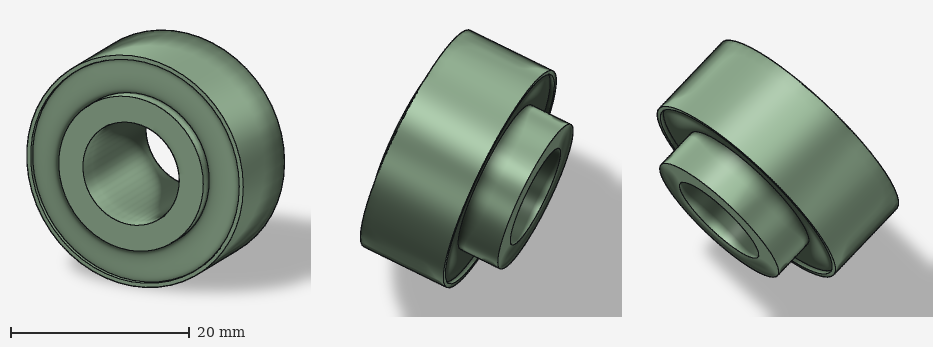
import cadquery as cq

outer_diameter = 27.0
recess_diameter = 26.0
hub_diameter = 18.0
bore_diameter = 12.0
total_length = 16.0
front_hub_projection = 1.0
rim_width = 10.5
recess_depth = 0.5


def cylinder(diameter, start, length):
    """Solid cylinder along +Y, beginning at Y = start."""
    base = cq.Workplane("XZ", origin=(0, start, 0))
    return base.circle(diameter / 2).extrude(-length)


rim_end = front_hub_projection + rim_width
rim = cylinder(outer_diameter, front_hub_projection, rim_width)
for recess_start in (front_hub_projection, rim_end - recess_depth):
    rim = rim.cut(cylinder(recess_diameter, recess_start, recess_depth))

hub = cylinder(hub_diameter, 0, total_length)
bore = cylinder(bore_diameter, 0, total_length)

result = rim.union(hub).cut(bore)